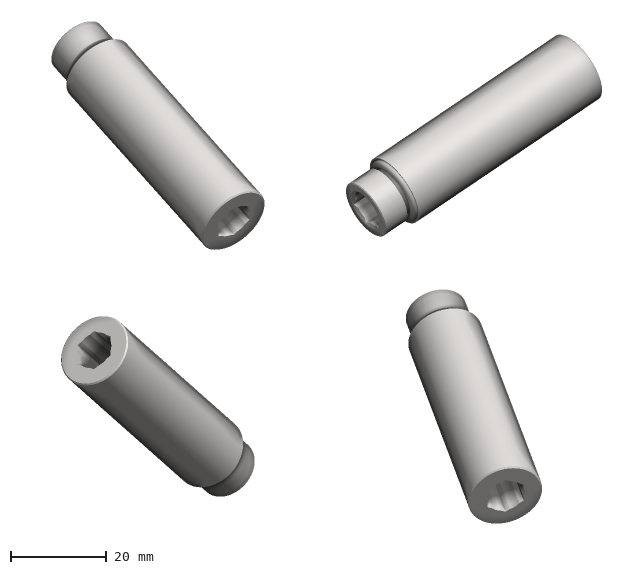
import cadquery as cq
import math

overall_length = 58.0
barrel_radius = 8.0
barrel_start = 7.9
barrel_end_chamfer = 0.3

head_radius = 6.55
head_front_chamfer = 0.25
head_straight_end = 6.0
neck_radius = 5.5
neck_start = 6.5

ring_section_radius = 0.9
ring_center_x = barrel_start
ring_path_radius = neck_radius + ring_section_radius
recess_radius = ring_path_radius + ring_section_radius
recess_end = ring_center_x + ring_section_radius
recess_mouth_chamfer = 0.35

hex_across_flats = 7.9
relief_bore_radius = 4.1
socket_mouth_radius = 4.7
mouth_taper_depth = 0.7


def make_blank():
    return (
        cq.Workplane("XY")
        .moveTo(0, 0)
        .lineTo(0, head_radius - head_front_chamfer)
        .lineTo(head_front_chamfer, head_radius)
        .lineTo(head_straight_end, head_radius)
        .lineTo(neck_start, neck_radius)
        .lineTo(recess_end, neck_radius)
        .lineTo(recess_end, recess_radius)
        .lineTo(barrel_start + recess_mouth_chamfer, recess_radius)
        .lineTo(barrel_start, recess_radius + recess_mouth_chamfer)
        .lineTo(barrel_start, barrel_radius)
        .lineTo(overall_length - barrel_end_chamfer, barrel_radius)
        .lineTo(overall_length, barrel_radius - barrel_end_chamfer)
        .lineTo(overall_length, 0)
        .close()
        .revolve(360, (0, 0, 0), (1, 0, 0))
    )


def cut_socket(body):
    corner_diameter = hex_across_flats / math.cos(math.pi / 6)
    hexagon = (
        cq.Workplane("YZ")
        .polygon(6, corner_diameter)
        .extrude(overall_length)
        .rotate((0, 0, 0), (1, 0, 0), 90)
    )
    relief_bore = cq.Workplane("YZ").circle(relief_bore_radius).extrude(overall_length)
    mouth = (
        cq.Workplane("XY")
        .lineTo(0, socket_mouth_radius)
        .lineTo(mouth_taper_depth, hex_across_flats / 2)
        .lineTo(mouth_taper_depth, 0)
        .close()
        .revolve(360, (0, 0, 0), (1, 0, 0))
    )
    return body.cut(hexagon).cut(relief_bore).cut(mouth)


def make_seal_ring():
    return (
        cq.Workplane("XY")
        .center(ring_center_x, ring_path_radius)
        .circle(ring_section_radius)
        .revolve(360, (0, -ring_path_radius, 0), (1, -ring_path_radius, 0))
    )


socket_body = cut_socket(make_blank())
seal_ring = make_seal_ring()
result = cq.Compound.makeCompound([socket_body.val(), seal_ring.val()])